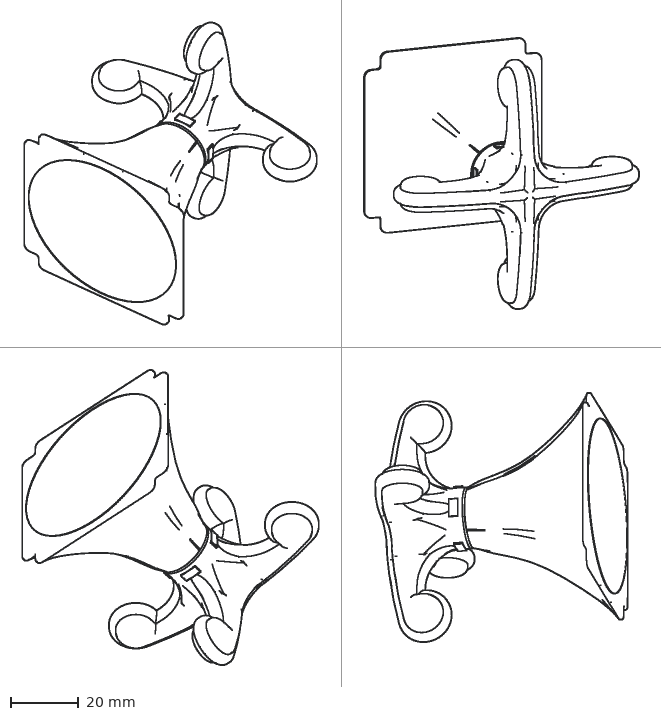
import cadquery as cq
import math

diagonal = math.sqrt(0.5)

span = 76.2
height = 67.1

pad_radius = 26.0
pad_height = 0.2
plate_half = 27.9
plate_top = 1.3
plate_edge = 0.45
plate_notch = 22.8
flare_top = 41.3
flare_radius = 68.6
notch_fade = 36.6
notch_fade_half = 7.2
corner_base = 2.2
corner_fade = 1.6
inner_share = 0.3
bow_rim = 0.04
bow_fade = 0.45
flare_levels = 5
neck_angles = (36, 39, 42, 43.5, 45, 46.5, 48, 51, 54, 90)

neck_radius = 9.15
spindle_radius = 6.25
gap = 0.8
collar_bottom = flare_top + gap
collar_top = 45.35

knob_radius = 8.0
knob_x = span / 2 - knob_radius
knob_y = 55.4
under_radius = 12.6
under_x = 21.3
under_y = knob_y - under_radius
knob_drop = height - knob_y
crown_radius = (knob_x**2 + knob_drop**2 - knob_radius**2) / (2 * (knob_drop - knob_radius))
crown_y = height - crown_radius
bead_half = 2.05
bead_round = 1.7
cheek_half = 4.2
cheek_inset = 2.0
cheek_round = 1.7

land_reach = 9.2
land_half = 2.75
land_bottom = 43.4
land_top = 46.1

web_reach = 12.05
web_under_reach = 12.8
web_under_y = 54.9
web_under_middle = (10.2, 51.05)


def on_circle(radius, degrees):
    angle = math.radians(degrees)
    return (radius * math.cos(angle), radius * math.sin(angle))


def turned(point, quarter):
    """Turn a point by a number of quarter turns about the axis."""
    x, z = point
    for _ in range(quarter):
        x, z = -z, x
    return (x, z)


def cylinder(radius, bottom, top):
    """Solid cylinder on the Y axis between two levels."""
    return cq.Workplane("XZ", origin=(0, bottom, 0)).circle(radius).extrude(bottom - top)


def flare_half(y):
    """Half width of the flare: an arc from the plate rim to the neck."""
    run = plate_half - neck_radius
    rise = flare_top - plate_top
    chord = math.hypot(run, rise)
    reach = math.sqrt(flare_radius**2 - (chord / 2) ** 2)
    centre_x = (plate_half + neck_radius) / 2 + reach * rise / chord
    centre_y = (plate_top + flare_top) / 2 + reach * run / chord
    return centre_x - math.sqrt(flare_radius**2 - (y - centre_y) ** 2)


def section(y, corner_points):
    """Closed outline at level y from ten points of the quarter that starts on +X."""
    outline = cq.Workplane("XZ", origin=(0, y, 0))
    outline = outline.moveTo(*corner_points[0])
    for quarter in range(4):
        p = [turned(point, quarter) for point in corner_points]
        outline = outline.threePointArc(p[1], p[2])
        outline = outline.lineTo(*p[3]).threePointArc(p[4], p[5]).lineTo(*p[6])
        outline = outline.threePointArc(p[7], p[8])
        outline = outline.threePointArc(p[9], turned(corner_points[0], quarter + 1))
    return outline


def notched_points(half, notch, corner, bow):
    """Quarter outline, from the +X side to +Z, of a square with notched, rounded corners and bowed sides."""
    edge = half - bow
    inner = inner_share * (edge - corner - notch)
    slack = 1 - diagonal
    flat = notch - corner
    points = [
        (edge, flat),
        (edge - slack * corner, notch - slack * corner),
        (edge - corner, notch),
        (notch + inner, notch),
        (notch + slack * inner, notch + slack * inner),
    ]
    mirrored = [(z, x) for x, z in reversed(points[:4])]
    return points + mirrored + [(0, half)]


def round_points(radius):
    """The same quarter with all its points on a circle."""
    return [on_circle(radius, angle) for angle in neck_angles]


def notched_section(y):
    """Flare section at level y, below the fade level."""
    share = (y - plate_top) / (notch_fade - plate_top)
    half = flare_half(y)
    depth_base = plate_half - plate_notch
    depth_fade = flare_half(notch_fade) - notch_fade_half
    notch = half - depth_base - (depth_fade - depth_base) * share
    corner = corner_base + (corner_fade - corner_base) * share
    return section(y, notched_points(half, notch, corner, bow_rim + (bow_fade - bow_rim) * share))


def make_foot():
    """Flare lofted from the notched plate to the round neck, with a thin pad beneath."""
    wires = []
    for index in range(flare_levels):
        y = plate_top + (notch_fade - plate_top) * index / (flare_levels - 1)
        wires.append(notched_section(y).wire().val())
    wires.append(section(flare_top, round_points(neck_radius)).wire().val())
    flare = cq.Workplane(cq.Solid.makeLoft(wires))
    rim = notched_points(plate_half, plate_notch, corner_base, bow_rim)
    plate = section(pad_height, rim).wire().extrude(pad_height - plate_top)
    plate = plate.faces("<Y").edges().fillet(plate_edge)
    pad = cylinder(pad_radius, 0, plate_top)
    return flare.union(plate).union(pad)


def arm_outline(inset):
    """Outline of two opposite arms, drawn in from the rim by the inset."""
    crown = crown_radius - inset
    knob = knob_radius - inset
    under = under_radius + inset
    lean = math.atan2(knob_x, knob_y - crown_y)
    outline = (
        cq.Workplane("XY")
        .moveTo(0, height - inset)
        .threePointArc((crown * math.sin(lean / 2), crown_y + crown * math.cos(lean / 2)),
                       (crown * math.sin(lean), crown_y + crown * math.cos(lean)))
        .threePointArc((knob_x + knob * diagonal, knob_y - knob * diagonal),
                       (knob_x - knob, knob_y))
    )
    if inset > 0:
        outline = outline.lineTo(knob_x - knob, knob_y + inset)
    return (
        outline.lineTo(under_x, knob_y + inset)
        .threePointArc((under_x - under * diagonal, under_y + under * diagonal),
                       (under_x - under, under_y))
        .lineTo(0, under_y)
        .mirrorY()
    )


def arm_cross(inset, half_thickness, rounding):
    """Four arms with rounded edges, mitred where they meet on the axis."""
    pair = arm_outline(inset).extrude(half_thickness, both=True)
    pair = pair.faces("<Z or >Z").edges("not(<Y)").fillet(rounding)
    mitre = cq.Workplane("XZ").polyline([(0, 0), (span, span), (span, -span)]).close().extrude(-span)
    arm = pair.intersect(mitre)
    cross = arm
    for quarter in range(1, 4):
        cross = cross.union(arm.rotate((0, 0, 0), (0, 1, 0), 90 * quarter))
    return cross


def make_web(inset, half_thickness, rounding):
    """Web between the arms: concave corners, trimmed below by a curved bowl."""
    web_top = crown_y + math.sqrt((crown_radius - inset) ** 2 - web_reach**2)
    blank = cq.Workplane("XZ", origin=(0, under_y, 0)).moveTo(web_reach, -half_thickness)
    radius = web_reach - half_thickness
    near = web_reach - radius * diagonal
    for quarter in range(4):
        blank = blank.lineTo(*turned((web_reach, half_thickness), quarter))
        blank = blank.threePointArc(turned((near, near), quarter),
                                    turned((half_thickness, web_reach), quarter))
    blank = blank.close().extrude(under_y - web_top)
    bowl = (
        cq.Workplane("XY")
        .moveTo(0, under_y)
        .lineTo(neck_radius, under_y)
        .lineTo(neck_radius, collar_top)
        .threePointArc(web_under_middle, (web_under_reach, web_under_y))
        .lineTo(web_under_reach, web_top)
        .lineTo(0, web_top)
        .close()
        .revolve(360, (0, 0, 0), (0, 1, 0))
    )
    return blank.intersect(bowl).faces(">Y").edges().fillet(rounding)


def make_lands():
    """Crossed blocks whose ends are the flat lands at the feet of the arms."""
    bar = (
        cq.Workplane("XZ", origin=(0, land_bottom, 0))
        .rect(2 * land_reach, 2 * land_half)
        .extrude(land_bottom - land_top)
    )
    return bar.union(bar.rotate((0, 0, 0), (0, 1, 0), 90))


def make_handle():
    """Beaded arms, cheeks and web on the collar."""
    handle = arm_cross(0, bead_half, bead_round)
    handle = handle.union(arm_cross(cheek_inset, cheek_half, cheek_round))
    handle = handle.union(make_web(cheek_inset, cheek_half, cheek_round))
    handle = handle.union(make_web(0, bead_half, bead_round))
    handle = handle.union(cylinder(neck_radius, collar_bottom, collar_top))
    return handle.union(make_lands())


spindle = cylinder(spindle_radius, plate_top, collar_top)
result = make_foot().union(spindle).union(make_handle())